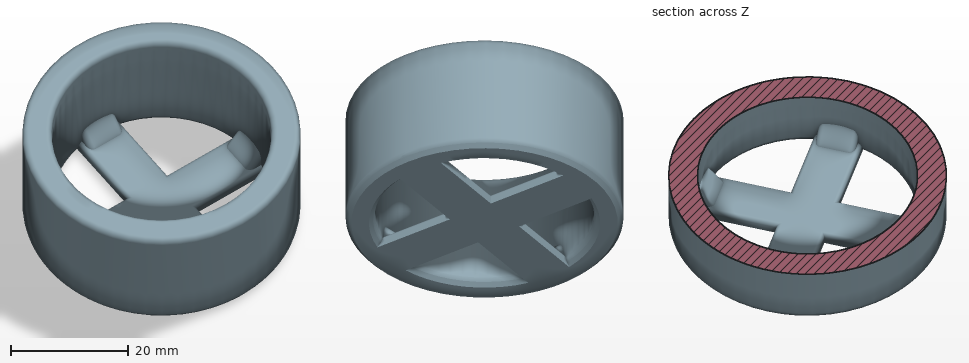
import cadquery as cq

outer_diameter = 47.5
bore_diameter = 37.5
height = 22.0
edge_size = 1.0

arm_width = 8.5
arm_rounding = 0.7
floor_thickness = 2.0

gusset_leg = 3.0
gusset_width = arm_width - 2 * arm_rounding
gusset_rounding = 1.0

bore_radius = bore_diameter / 2
embed_radius = bore_radius + edge_size


def make_ring():
    """Tube with rounded top rims and chamfered bottom rims blended into the walls."""
    ring = cq.Workplane("XY").circle(outer_diameter / 2).circle(bore_radius).extrude(height)
    ring = ring.faces(">Z").edges().fillet(edge_size)
    ring = ring.faces("<Z").edges().chamfer(edge_size)
    tolerance = 0.05
    corner_slice = cq.selectors.BoxSelector(
        (-outer_diameter, -outer_diameter, edge_size - tolerance),
        (outer_diameter, outer_diameter, edge_size + tolerance),
    )
    return ring.edges("%CIRCLE").edges(corner_slice).fillet(edge_size)


def make_cross():
    """Two crossing arms with rounded upper edges, trimmed to end inside the wall."""
    arm_length = 3 * outer_diameter
    arm_x = cq.Workplane("XY").rect(arm_length, arm_width).extrude(floor_thickness)
    arm_y = cq.Workplane("XY").rect(arm_width, arm_length).extrude(floor_thickness)
    cross = arm_x.union(arm_y)
    inner_box = cq.selectors.BoxSelector(
        (-outer_diameter, -outer_diameter, 0),
        (outer_diameter, outer_diameter, height),
    )
    long_edges = cross.faces(">Z").edges(inner_box)
    cross = long_edges.fillet(arm_rounding)
    trim = cq.Workplane("XY").circle(embed_radius).extrude(floor_thickness)
    return cross.intersect(trim)


def make_gusset():
    """45 degree wedge on the +X arm with its two sloping edges rounded."""
    toe = bore_radius - gusset_leg
    embed_height = floor_thickness + embed_radius - toe
    wedge = (
        cq.Workplane("XZ")
        .moveTo(toe - floor_thickness, 0)
        .lineTo(embed_radius, embed_height)
        .lineTo(embed_radius, 0)
        .close()
        .extrude(gusset_width / 2, both=True)
    )
    sloping_edges = cq.selectors.ParallelDirSelector(cq.Vector(1, 0, 1))
    wedge = wedge.edges(sloping_edges).fillet(gusset_rounding)
    upper_part = (
        cq.Workplane("XY", origin=(0, 0, floor_thickness - arm_rounding))
        .rect(outer_diameter, gusset_width)
        .extrude(height)
    )
    return wedge.intersect(upper_part)


result = make_ring().union(make_cross())
gusset = make_gusset()
gusset_count = 4
for index in range(gusset_count):
    result = result.union(gusset.rotate((0, 0, 0), (0, 0, 1), index * 360 / gusset_count))